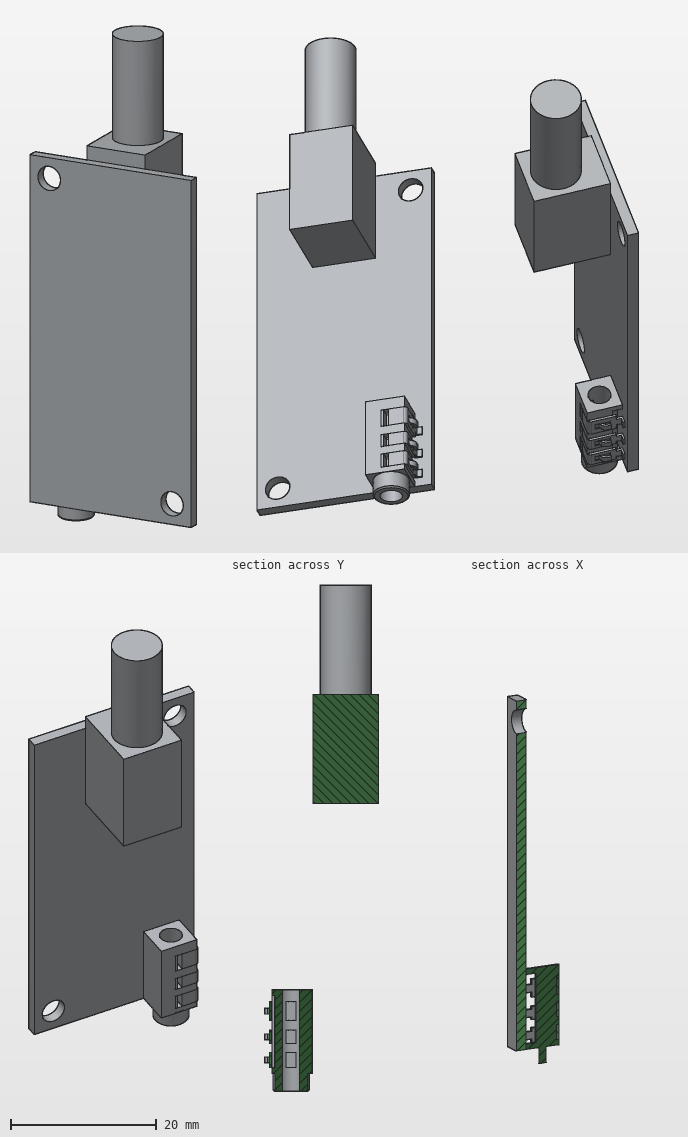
import cadquery as cq
import math


BOARD_WIDTH = 25.0
BOARD_HEIGHT = 50.05
BOARD_THICKNESS = 1.6
MOUNT_HOLE_DIAMETER = 3.5
MOUNT_HOLE_INSET = 3.0

BASE_WIDTH = 9.05
BASE_DEPTH = 11.0
BASE_HEIGHT = 15.0
BASE_OVERHANG = 2.0
SHAFT_DIAMETER = 7.0
SHAFT_LENGTH = 15.0
BACK_Y = BOARD_THICKNESS + BASE_DEPTH
BASE_TOP_Z = BOARD_HEIGHT + BASE_OVERHANG
SHAFT_Y = BACK_Y - BASE_WIDTH / 2

HOUSING_LEFT = -10.15
HOUSING_RIGHT = -4.6
HOUSING_DEPTH = 5.1
HOUSING_HEIGHT = 11.55
HOUSING_BACK_Y = BOARD_THICKNESS + HOUSING_DEPTH
BARREL_DIAMETER = 5.0
BARREL_X = -7.5
BARREL_Y = BOARD_THICKNESS + BARREL_DIAMETER / 2
NOSE_LENGTH = 2.4
NOSE_CHAMFER = 0.2
BORE_DIAMETER = 3.1
UNDERCUT_DEPTH = 1.45
UNDERCUT_BOTTOM_Z = 0.8
UNDERCUT_TOP_Z = 10.7

CONTACT_PLACES = [(0.8, 2.1), (4.1, 1.9), (7.3, 2.6)]
CONTACT_THICKNESS = 0.35
CONTACT_BEND_RADIUS = 0.5
CONTACT_FACE_X = HOUSING_LEFT - CONTACT_THICKNESS
CONTACT_SHOULDER_Y = BOARD_THICKNESS + 1.0
LOOP_WIDTH = 1.4
LOOP_END_Y = BOARD_THICKNESS + 3.2
LOOP_LEFT = BARREL_X - LOOP_WIDTH / 2
LOOP_RIGHT = BARREL_X + LOOP_WIDTH / 2
STEM_WIDTH = 1.1
FOOT_THICKNESS = 0.3
FOOT_REACH = 0.75

WINDOW_WIDTH = 0.8
WINDOW_START_Y = BOARD_THICKNESS + 4.0
WINDOW_END_Y = BOARD_THICKNESS + 1.8
TONGUE_RECESS = CONTACT_THICKNESS / 2
TONGUE_THICKNESS = 0.35
TONGUE_ROOT_Y = BOARD_THICKNESS + 3.4
TONGUE_CREST_Y = BOARD_THICKNESS + 2.35
TONGUE_TIP_Y = BOARD_THICKNESS + 1.9
TONGUE_REACH = 0.6


def box(x_range, y_range, z_range):
    """Box between two limits along each axis."""
    corner = (x_range[0], y_range[0], z_range[0])
    size = [limits[1] - limits[0] for limits in (x_range, y_range, z_range)]
    return cq.Workplane("XY").box(*size, centered=False).translate(corner)


def upright_cylinder(x, y, diameter, bottom_z, top_z):
    """Cylinder along Z."""
    plane = cq.Workplane("XY", origin=(x, y, bottom_z))
    return plane.circle(diameter / 2).extrude(top_z - bottom_z)


def make_board():
    """Flat board with mounting holes in two opposite corners."""
    half_width = BOARD_WIDTH / 2
    board = box((-half_width, half_width), (0, BOARD_THICKNESS), (0, BOARD_HEIGHT))
    hole_x = half_width - MOUNT_HOLE_INSET
    hole_places = [(-hole_x, BOARD_HEIGHT - MOUNT_HOLE_INSET), (hole_x, MOUNT_HOLE_INSET)]
    holes = (
        cq.Workplane("XZ")
        .pushPoints(hole_places)
        .circle(MOUNT_HOLE_DIAMETER / 2)
        .extrude(-BOARD_THICKNESS)
    )
    return board.cut(holes)


def make_sensor():
    """Base on the back of the board, with the shaft standing on its upper end."""
    base = box(
        (-BASE_WIDTH / 2, BASE_WIDTH / 2),
        (BOARD_THICKNESS, BACK_Y),
        (BASE_TOP_Z - BASE_HEIGHT, BASE_TOP_Z),
    )
    shaft = upright_cylinder(0, SHAFT_Y, SHAFT_DIAMETER, BASE_TOP_Z, BASE_TOP_Z + SHAFT_LENGTH)
    return base.union(shaft)


def make_contact_seat(bottom_z, width):
    """Space in the housing for the leg and the loop of one contact."""
    z_range = (bottom_z, bottom_z + width)
    leg_y_range = (HOUSING_BACK_Y - CONTACT_THICKNESS, HOUSING_BACK_Y)
    leg = box((HOUSING_LEFT, LOOP_RIGHT), leg_y_range, z_range)
    loop = box((LOOP_LEFT, LOOP_RIGHT), (LOOP_END_Y, HOUSING_BACK_Y), z_range)
    return leg.union(loop)


def make_housing():
    """Jack housing with a round nose, a through bore, an undercut side and contact seats."""
    housing = box(
        (HOUSING_LEFT, HOUSING_RIGHT),
        (BOARD_THICKNESS, HOUSING_BACK_Y),
        (0, HOUSING_HEIGHT),
    )
    undercut = box(
        (HOUSING_LEFT, BARREL_X),
        (BOARD_THICKNESS, BOARD_THICKNESS + UNDERCUT_DEPTH),
        (UNDERCUT_BOTTOM_Z, UNDERCUT_TOP_Z),
    )
    barrel = upright_cylinder(BARREL_X, BARREL_Y, BARREL_DIAMETER, 0, HOUSING_HEIGHT)
    housing = housing.cut(undercut.cut(barrel))

    nose = upright_cylinder(BARREL_X, BARREL_Y, BARREL_DIAMETER, -NOSE_LENGTH, 0)
    housing = housing.union(nose.faces("<Z").chamfer(NOSE_CHAMFER))
    bore = upright_cylinder(BARREL_X, BARREL_Y, BORE_DIAMETER, -NOSE_LENGTH, HOUSING_HEIGHT)
    housing = housing.cut(bore)

    for bottom_z, width in CONTACT_PLACES:
        housing = housing.cut(make_contact_seat(bottom_z, width))
    return housing


def make_tongue(middle_z):
    """Tongue that starts sunk in the window, curls outward and ends parallel to the strip."""
    root_x = CONTACT_FACE_X + TONGUE_RECESS
    crest_x = CONTACT_FACE_X - TONGUE_REACH
    rise = root_x - crest_x
    run = TONGUE_ROOT_Y - TONGUE_CREST_Y
    outer_radius = (rise**2 + run**2) / (2 * rise)
    inner_radius = outer_radius - TONGUE_THICKNESS
    center_x = crest_x + outer_radius
    sweep = math.asin(run / outer_radius)

    def arc_point(radius, angle):
        return center_x - radius * math.cos(angle), TONGUE_CREST_Y + radius * math.sin(angle)

    inner_start = arc_point(inner_radius, sweep)
    return (
        cq.Workplane("XY", origin=(0, 0, middle_z - WINDOW_WIDTH / 2))
        .moveTo(root_x, WINDOW_START_Y)
        .lineTo(root_x, TONGUE_ROOT_Y)
        .threePointArc(arc_point(outer_radius, sweep / 2), (crest_x, TONGUE_CREST_Y))
        .lineTo(crest_x, TONGUE_TIP_Y)
        .lineTo(crest_x + TONGUE_THICKNESS, TONGUE_TIP_Y)
        .lineTo(crest_x + TONGUE_THICKNESS, TONGUE_CREST_Y)
        .threePointArc(arc_point(inner_radius, sweep / 2), inner_start)
        .lineTo(HOUSING_LEFT, inner_start[1])
        .lineTo(HOUSING_LEFT, WINDOW_START_Y)
        .close()
        .extrude(WINDOW_WIDTH)
    )


def make_contact(bottom_z, width):
    """Bent strip: loop dipping into the bore, leg, outer strip with window and tongue, stem and foot."""
    middle_z = bottom_z + width / 2
    full_z_range = (bottom_z, bottom_z + width)
    stem_z_range = (middle_z - STEM_WIDTH / 2, middle_z + STEM_WIDTH / 2)
    window_z_range = (middle_z - WINDOW_WIDTH / 2, middle_z + WINDOW_WIDTH / 2)
    strip_x_range = (CONTACT_FACE_X, HOUSING_LEFT)

    leg = box(
        (CONTACT_FACE_X, LOOP_LEFT + CONTACT_THICKNESS),
        (HOUSING_BACK_Y - CONTACT_THICKNESS, HOUSING_BACK_Y),
        full_z_range,
    )
    strip = box(strip_x_range, (CONTACT_SHOULDER_Y, HOUSING_BACK_Y), full_z_range)
    bent_strip = leg.union(strip).edges("|Z and <X and >Y").fillet(CONTACT_BEND_RADIUS)

    loop = box((LOOP_LEFT, LOOP_RIGHT), (LOOP_END_Y, HOUSING_BACK_Y), full_z_range)
    loop_opening = box(
        (LOOP_LEFT + CONTACT_THICKNESS, LOOP_RIGHT - CONTACT_THICKNESS),
        (LOOP_END_Y + CONTACT_THICKNESS, HOUSING_BACK_Y),
        full_z_range,
    )
    loop = loop.cut(loop_opening)
    stem = box(strip_x_range, (BOARD_THICKNESS, CONTACT_SHOULDER_Y), stem_z_range)
    foot = box(
        (CONTACT_FACE_X - FOOT_REACH, HOUSING_LEFT),
        (BOARD_THICKNESS, BOARD_THICKNESS + FOOT_THICKNESS),
        stem_z_range,
    )
    window = box(strip_x_range, (WINDOW_END_Y, WINDOW_START_Y), window_z_range)
    contact = bent_strip.union(loop).union(stem).union(foot)
    return contact.cut(window).union(make_tongue(middle_z))


board = make_board()
sensor = make_sensor()
housing = make_housing()
contacts = [make_contact(bottom_z, width) for bottom_z, width in CONTACT_PLACES]

result = cq.Compound.makeCompound(
    [board.val(), sensor.val(), housing.val(), *[contact.val() for contact in contacts]]
)